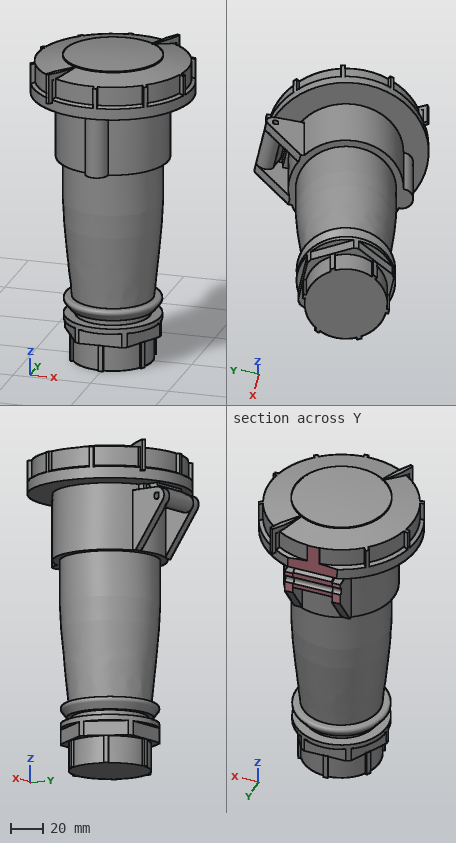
import cadquery as cq
import math


nut_rib_top = 17.0
nut_hex_top = 26.0
nut_top = 29.5
bead_bottom = 33.5
bead_top = 41.0
taper_top = 88.8
grip_bottom = 103.8
head_bottom = 132.2
cap_bottom = 174.0
cap_rim_top = 181.2
cap_edge_top = 194.0
cap_cone_top = 197.8
disc_edge_top = 198.5
total_height = 200.0

nut_radius = 30.5
nut_flat_distance = 27.2
nut_flat_count = 6
sleeve_radius = 25.5
nut_rib_radius = 27.0
nut_rib_width = 3.0
nut_rib_count = 6
first_nut_rib_angle = 30.0

neck_radius = 23.5
bead_bottom_radius = 26.8
bead_radius = 30.5
bead_round = 2.0
taper_bottom_radius = 25.5
taper_middle_radius = 28.0
taper_top_radius = 30.2
grip_radius = 31.0
head_radius = 35.5
key_radius = 7.2
key_reach = 42.2

hinge_y = 48.2
hinge_z = 164.5
knuckle_radius = 5.5
ear_outer_x = 18.5
arm_half_width = 12.8
pin_slot_width = 3.5
pin_slot_height = 4.5
ear_root_y = 30.0
ear_foot_y = 32.5
arm_root_inner_y = 38.5
arm_root_outer_y = 44.8
arm_shoulder_z = 172.5
stop_half_width = 15.0
stop_reach = 37.2
stop_chamfer = 1.0

cap_radius = 51.0
cap_panel_radius = 48.5
cap_ledge_rise = 1.2
cap_rib_width = 2.5
cap_rib_count = 10
lever_angle = 58.0
disc_radius = 31.0

lever_inner = 31.5
lever_middle = 45.0
lever_outer = 53.8
lever_inner_half = 0.5
lever_middle_half = 1.5
lever_outer_half = 1.0
lever_bottom = 179.2
lever_inner_top = 197.5
lever_outer_top = 198.5


def cylinder(radius, bottom, top):
    return cq.Workplane("XY").workplane(offset=bottom).circle(radius).extrude(top - bottom)


def box(x_range, y_range, z_range):
    """Box between the given lower and upper limits on each axis."""
    lows, highs = zip(x_range, y_range, z_range)
    size = [high - low for low, high in zip(lows, highs)]
    return cq.Workplane("XY").box(*size, centered=False).translate(lows)


def turned(profile):
    """Turn a closed profile drawn on XZ around the Z axis."""
    return profile.revolve(360, (0, 0, 0), (0, 1, 0))


def around(feature, angle):
    return feature.rotate((0, 0, 0), (0, 0, 1), angle)


def pin_slot():
    """Upright slot for the hinge pin, through both ears and the arm."""
    slot = cq.Workplane("YZ").center(hinge_y, hinge_z).slot2D(pin_slot_height, pin_slot_width, 90)
    return slot.extrude(ear_outer_x, both=True)




def gland_nut():
    sleeve = cylinder(sleeve_radius, 0, nut_rib_top)
    for index in range(nut_rib_count):
        rib = box((0, nut_rib_radius), (-nut_rib_width / 2, nut_rib_width / 2), (0, nut_rib_top))
        sleeve = sleeve.union(around(rib, first_nut_rib_angle + index * 360 / nut_rib_count))
    hex_across_corners = 2 * nut_flat_distance / math.cos(math.pi / nut_flat_count)
    hexagon = cq.Workplane("XY").workplane(offset=nut_rib_top).polygon(nut_flat_count, hex_across_corners)
    hexagon = hexagon.extrude(nut_hex_top - nut_rib_top)
    hexagon = hexagon.intersect(cylinder(nut_radius, nut_rib_top, nut_hex_top))
    flange = cylinder(nut_radius, nut_hex_top, nut_top)
    return sleeve.union(hexagon).union(flange)


def housing_barrel():
    """Neck, bead, tapered grip and head, turned as one profile."""
    round_r = bead_radius - bead_round
    round_z = bead_top - bead_round
    run = round_r - bead_bottom_radius
    rise = round_z - bead_bottom
    tangent_angle = -math.atan2(run, rise) - math.asin(bead_round / math.hypot(run, rise))
    round_end = (
        round_r + bead_round * math.cos(tangent_angle),
        round_z + bead_round * math.sin(tangent_angle),
    )
    taper_middle_z = (bead_top + taper_top) / 2
    profile = (
        cq.Workplane("XZ")
        .moveTo(0, nut_top)
        .lineTo(neck_radius, nut_top)
        .lineTo(neck_radius, bead_bottom)
        .lineTo(bead_bottom_radius, bead_bottom)
        .lineTo(*round_end)
        .threePointArc((bead_radius, round_z), (round_r, bead_top))
        .lineTo(taper_bottom_radius, bead_top)
        .threePointArc((taper_middle_radius, taper_middle_z), (taper_top_radius, taper_top))
        .lineTo(grip_radius, grip_bottom)
        .lineTo(grip_radius, head_bottom)
        .lineTo(head_radius, head_bottom)
        .lineTo(head_radius, cap_bottom)
        .lineTo(0, cap_bottom)
        .close()
    )
    return turned(profile)


def keyway_bulge():
    """Half-round bulge down the front of the head."""
    return cylinder(key_radius, head_bottom, cap_bottom).translate((0, key_radius - key_reach, 0))


def hinge_ears():
    """Two plates at the back of the head, one on each side of the cap's arm."""
    ear_top = hinge_z + knuckle_radius
    run = hinge_y - ear_foot_y
    rise = hinge_z - head_bottom
    edge_angle = math.atan2(rise, run) - math.asin(knuckle_radius / math.hypot(run, rise))
    tangent_point = (
        hinge_y + knuckle_radius * math.sin(edge_angle),
        hinge_z - knuckle_radius * math.cos(edge_angle),
    )
    plates = (
        cq.Workplane("YZ")
        .moveTo(ear_root_y, head_bottom)
        .lineTo(ear_foot_y, head_bottom)
        .lineTo(*tangent_point)
        .threePointArc((hinge_y + knuckle_radius, hinge_z), (hinge_y, ear_top))
        .lineTo(ear_root_y, ear_top)
        .close()
        .extrude(ear_outer_x, both=True)
    )
    gap = box((-arm_half_width, arm_half_width), (0, 2 * hinge_y), (head_bottom, cap_bottom))
    return plates.cut(gap).cut(pin_slot())


def hinge_stop():
    """Low block on the back of the head, facing the arm."""
    block = box((-stop_half_width, stop_half_width), (0, stop_reach), (hinge_z, cap_bottom))
    return block.faces(">Y").edges("|Z").chamfer(stop_chamfer)


def make_housing():
    body = gland_nut().union(housing_barrel())
    for feature in (keyway_bulge(), hinge_ears(), hinge_stop()):
        body = body.union(feature)
    return body




def cap_blank():
    """Rim, conical top and domed centre disc."""
    dome_rise = total_height - disc_edge_top
    dome_radius = (disc_radius**2 + dome_rise**2) / (2 * dome_rise)
    half_way = disc_radius / 2
    dome_middle_z = total_height - dome_radius + math.sqrt(dome_radius**2 - half_way**2)
    profile = (
        cq.Workplane("XZ")
        .moveTo(0, cap_bottom)
        .lineTo(cap_radius, cap_bottom)
        .lineTo(cap_radius, cap_edge_top)
        .lineTo(disc_radius, cap_cone_top)
        .lineTo(disc_radius, disc_edge_top)
        .threePointArc((half_way, dome_middle_z), (0, total_height))
        .close()
    )
    return turned(profile)


def cap_panels():
    """Cutter for the sunken panels around the cap: a ring above a sloping ledge, less the ribs."""
    cutter_radius = 2 * cap_radius
    ring = turned(
        cq.Workplane("XZ")
        .moveTo(cap_radius, cap_rim_top)
        .lineTo(cap_panel_radius, cap_rim_top + cap_ledge_rise)
        .lineTo(cap_panel_radius, total_height)
        .lineTo(cutter_radius, total_height)
        .lineTo(cutter_radius, cap_rim_top)
        .close()
    )
    for index in range(cap_rib_count):
        rib = box(
            (0, cutter_radius),
            (-cap_rib_width / 2, cap_rib_width / 2),
            (cap_bottom, total_height),
        )
        ring = ring.cut(around(rib, lever_angle + index * 360 / cap_rib_count))
    return ring


def lever(angle):
    """Radial grip plate, thickest at its middle."""
    half_outline = [
        (lever_inner, lever_inner_half),
        (lever_middle, lever_middle_half),
        (lever_outer, lever_outer_half),
    ]
    mirrored = [(x, -y) for x, y in reversed(half_outline)]
    plan = cq.Workplane("XY").workplane(offset=lever_bottom).polyline(half_outline + mirrored).close()
    plan = plan.extrude(total_height - lever_bottom)
    side = (
        cq.Workplane("XZ")
        .moveTo(lever_inner, lever_bottom)
        .lineTo(lever_outer, lever_bottom)
        .lineTo(lever_outer, lever_outer_top)
        .lineTo(lever_inner, lever_inner_top)
        .close()
        .extrude(2 * lever_middle_half, both=True)
    )
    return around(plan.intersect(side), angle)


def hinge_arm():
    """Arm from the underside of the rim to a knuckle between the housing's ears."""
    run = hinge_y - arm_root_outer_y
    drop = arm_shoulder_z - hinge_z
    normal_angle = math.atan2(drop, -run) - math.acos(knuckle_radius / math.hypot(run, drop))
    tangent_point = (
        hinge_y + knuckle_radius * math.cos(normal_angle),
        hinge_z + knuckle_radius * math.sin(normal_angle),
    )
    arm = (
        cq.Workplane("YZ")
        .moveTo(arm_root_inner_y, cap_bottom)
        .lineTo(arm_root_outer_y, cap_bottom)
        .lineTo(arm_root_outer_y, arm_shoulder_z)
        .lineTo(*tangent_point)
        .threePointArc((hinge_y, hinge_z - knuckle_radius), (hinge_y - knuckle_radius, hinge_z))
        .close()
        .extrude(arm_half_width, both=True)
    )
    return arm.cut(pin_slot())


def make_cap():
    cap = cap_blank().cut(cap_panels())
    for angle in (lever_angle, lever_angle + 180):
        cap = cap.union(lever(angle))
    return cap.union(hinge_arm())


housing = make_housing()
cap = make_cap()

result = cq.Compound.makeCompound([*housing.solids().vals(), *cap.solids().vals()])